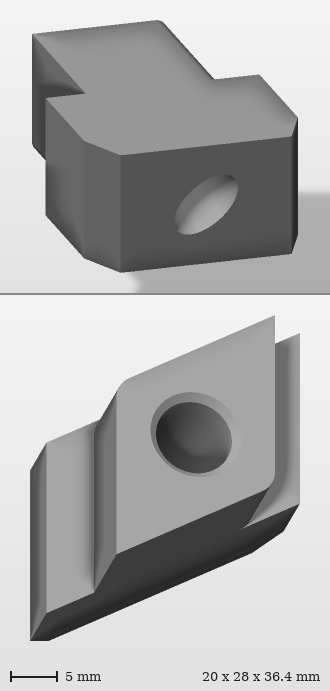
import cadquery as cq
import math

skew_angle = 30.0
slab_thickness = 17.5
neck_width = 17.5
head_width = 28.0
neck_length = 10.0
head_length = 10.0
neck_corner_radius = 2.8
head_chamfer = 2.8
bore_diameter = 8.38
countersink_diameter = 10.0
countersink_depth = (countersink_diameter - bore_diameter) / 2

slope = math.tan(math.radians(skew_angle))
side_height = slab_thickness / math.cos(math.radians(skew_angle))
total_length = neck_length + head_length


def skewed_block(width, x_start, length):
    """Parallelogram prism along X with vertical sides and faces that drop toward +Y."""
    half_width = width / 2
    rise = slope * half_width
    half_side = side_height / 2
    corners = [
        (-half_width, rise - half_side),
        (half_width, -rise - half_side),
        (half_width, -rise + half_side),
        (-half_width, rise + half_side),
    ]
    return cq.Workplane("YZ", origin=(x_start, 0, 0)).polyline(corners).close().extrude(length)


def make_neck():
    """Neck block with its two obtuse edges rounded."""
    obtuse_y = neck_width / 2
    obtuse_z = side_height / 2 - slope * obtuse_y
    middle_x = neck_length / 2
    neck = skewed_block(neck_width, 0, neck_length)
    for side in (1, -1):
        edge_selector = cq.selectors.NearestToPointSelector((middle_x, side * obtuse_y, side * obtuse_z))
        neck = neck.edges(edge_selector).fillet(neck_corner_radius)
    return neck


def head_corner_wedge(side):
    """Triangular cutter, tall along Z, for the chamfer on one Y side of the head's end face."""
    outer_y = side * head_width / 2
    cutter_half_height = side_height + slope * head_width
    corners = [
        (total_length - head_chamfer, outer_y),
        (total_length, outer_y),
        (total_length, outer_y - side * head_chamfer),
    ]
    return cq.Workplane("XY").polyline(corners).close().extrude(cutter_half_height, both=True)


def make_head():
    """Head block with both vertical edges of its end face chamfered."""
    head = skewed_block(head_width, neck_length, head_length)
    for side in (1, -1):
        head = head.cut(head_corner_wedge(side))
    return head


def make_bore():
    """Through bore with a countersink at the neck face."""
    bore = cq.Workplane("YZ").circle(bore_diameter / 2).extrude(total_length)
    cone = cq.Solid.makeCone(
        countersink_diameter / 2,
        bore_diameter / 2,
        countersink_depth,
        pnt=cq.Vector(0, 0, 0),
        dir=cq.Vector(1, 0, 0),
    )
    return bore.union(cq.Workplane(obj=cone))


result = make_neck().union(make_head()).cut(make_bore())